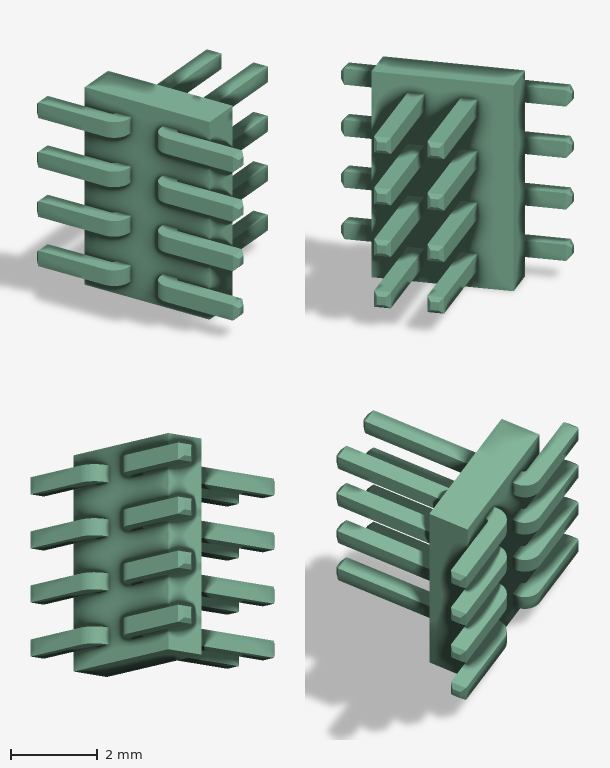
import cadquery as cq

body_width = 3.4
body_depth = 1.0
body_height = 5.08

rows = 4
pitch = body_height / rows
wire = 0.4
tip_chamfer = 0.1
outer_bend_radius = wire
inner_bend_radius = 0.1
foot_span = 5.5
total_depth = 4.5
foot_drop = 0.5

post_inner_x = (pitch - wire) / 2
post_outer_x = post_inner_x + wire
foot_end_x = foot_span / 2


def make_body():
    return cq.Workplane("XY").box(body_width, body_depth, body_height).translate(
        (0, foot_drop + body_depth / 2, 0)
    )


def make_pin():
    """L-shaped pin on the +X side, centred on Z = 0."""
    pin = (
        cq.Workplane("XY")
        .moveTo(post_inner_x, 0)
        .lineTo(foot_end_x, 0)
        .lineTo(foot_end_x, wire)
        .lineTo(post_outer_x, wire)
        .lineTo(post_outer_x, total_depth)
        .lineTo(post_inner_x, total_depth)
        .close()
        .extrude(wire / 2, both=True)
    )
    pin = pin.faces(">X").chamfer(tip_chamfer)
    pin = pin.faces(">Y").chamfer(tip_chamfer)
    outer_corner = cq.selectors.NearestToPointSelector((post_inner_x, 0, 0))
    pin = pin.edges("|Z").edges(outer_corner).fillet(outer_bend_radius)
    inner_corner = cq.selectors.NearestToPointSelector((post_outer_x, wire, 0))
    return pin.edges("|Z").edges(inner_corner).fillet(inner_bend_radius)


right_pin = make_pin()
left_pin = right_pin.mirror("YZ")

result = make_body()
for row in range(rows):
    row_z = (row - (rows - 1) / 2) * pitch
    for pin in (left_pin, right_pin):
        result = result.union(pin.translate((0, 0, row_z)))